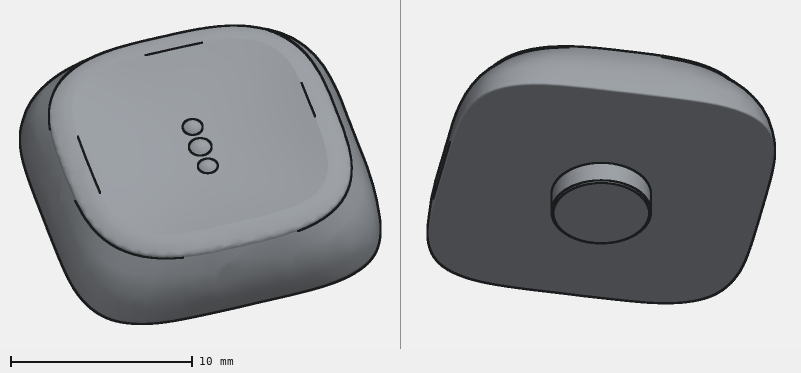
import cadquery as cq
import math

BASE_HALF_WIDTH = 8.98
BASE_POWER = 4.35
BASE_BAND_HEIGHT = 0.29
BASE_FILLET = 0.1
WALL_CURVE_POWER = 2.3
RIM_HALF_WIDTH = 7.85
RIM_POWER = 3.1
RIM_HEIGHT = 3.8
CAP_HEIGHT = 4.28

DISH_HALF_WIDTH = 6.49
DISH_POWER = 3.7
DISH_FLOOR_HEIGHT = 3.41
FLOOR_HALF_WIDTH = 0.45
FLOOR_POWER = 2.0

MIDDLE_DOT_RADIUS = 0.63
SIDE_DOT_RADIUS = 0.55
DOT_RISE = 0.22
DOT_SPACING = 1.5

STEM_DIAMETER = 5.5
STEM_LENGTH = 1.35
STEM_CHAMFER = 0.1

OUTLINE_POINTS = 32
LOFT_STEPS = 4


def mix(start, end, fraction):
    """Value at a fraction of the way from start to end."""
    return start + (end - start) * fraction


def squircle(half_width, power, height):
    """Closed superellipse wire, |x|^power + |y|^power = half_width^power."""
    points = []
    for index in range(OUTLINE_POINTS):
        angle = 2 * math.pi * index / OUTLINE_POINTS
        c, s = math.cos(angle), math.sin(angle)
        radius = half_width / (abs(c) ** power + abs(s) ** power) ** (1 / power)
        points.append(cq.Vector(radius * c, radius * s, height))
    return cq.Wire.assembleEdges([cq.Edge.makeSpline(points, periodic=True)])


def loft(sections):
    """Smooth solid through (half width, power, height) sections."""
    return cq.Workplane(cq.Solid.makeLoft([squircle(*section) for section in sections]))


def base_band():
    """Thin upright band at the foot of the cap, rounded underneath."""
    outline = squircle(BASE_HALF_WIDTH, BASE_POWER, 0)
    band = cq.Solid.extrudeLinear(outline, [], cq.Vector(0, 0, BASE_BAND_HEIGHT))
    return cq.Workplane(band).faces("<Z").edges().fillet(BASE_FILLET)


def wall():
    """Side wall leaning inward along a power curve up to the rim."""
    sections = []
    for step in range(LOFT_STEPS + 1):
        fraction = step / LOFT_STEPS
        inset = (BASE_HALF_WIDTH - RIM_HALF_WIDTH) * fraction ** WALL_CURVE_POWER
        power = mix(BASE_POWER, RIM_POWER, fraction)
        sections.append((BASE_HALF_WIDTH - inset, power, mix(BASE_BAND_HEIGHT, RIM_HEIGHT, fraction)))
    return loft(sections)


def crown():
    """Rounded shoulder from the rim up to the dish edge."""
    sections = []
    for step in range(LOFT_STEPS + 1):
        turn = math.radians(90) * step / LOFT_STEPS
        fraction = 1 - math.cos(turn)
        half_width = mix(RIM_HALF_WIDTH, DISH_HALF_WIDTH, fraction)
        power = mix(RIM_POWER, DISH_POWER, fraction)
        sections.append((half_width, power, mix(RIM_HEIGHT, CAP_HEIGHT, math.sin(turn))))
    return loft(sections)


def dish_bowl():
    """Cutter for the shallow parabolic bowl inside the dish edge."""
    sections = []
    for step in range(LOFT_STEPS + 1):
        fraction = step / LOFT_STEPS
        half_width = mix(FLOOR_HALF_WIDTH, DISH_HALF_WIDTH, fraction)
        power = mix(FLOOR_POWER, DISH_POWER, fraction)
        sections.append((half_width, power, mix(DISH_FLOOR_HEIGHT, CAP_HEIGHT, fraction ** 2)))
    return loft(sections)


def dot(radius, x):
    """Sphere whose exposed part is a low dome on the dish."""
    distance = max(abs(x) - FLOOR_HALF_WIDTH, 0) / (DISH_HALF_WIDTH - FLOOR_HALF_WIDTH)
    floor = mix(DISH_FLOOR_HEIGHT, CAP_HEIGHT, distance ** 2)
    sphere_radius = (radius ** 2 + DOT_RISE ** 2) / (2 * DOT_RISE)
    return cq.Workplane().sphere(sphere_radius).translate((x, 0, floor + DOT_RISE - sphere_radius))


def make_cap():
    cap = base_band().union(wall()).union(crown())
    cap = cap.cut(dish_bowl())
    cap = cap.union(dot(MIDDLE_DOT_RADIUS, 0))
    for side in (-1, 1):
        cap = cap.union(dot(SIDE_DOT_RADIUS, side * DOT_SPACING))
    return cap


def make_stem():
    """Round stem hanging from the flat underside of the cap."""
    stem = cq.Workplane().circle(STEM_DIAMETER / 2).extrude(-STEM_LENGTH)
    return stem.faces("<Z").edges().chamfer(STEM_CHAMFER)


cap = make_cap()
stem = make_stem()
result = cq.Compound.makeCompound([cap.val(), stem.val()])